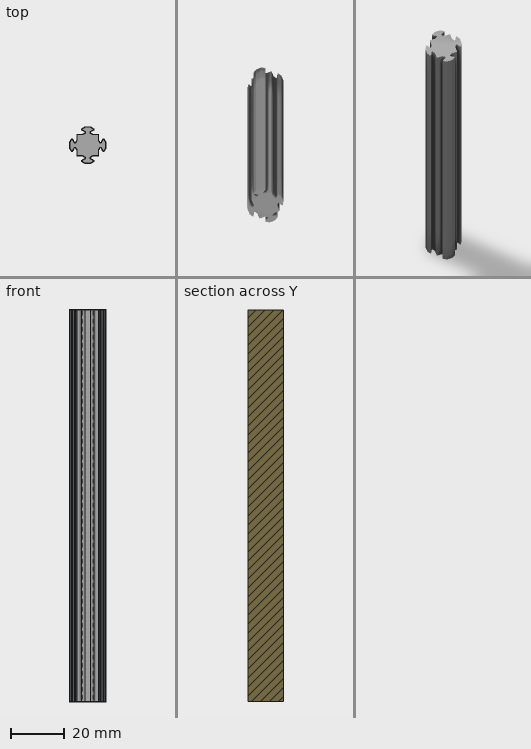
import cadquery as cq
import math

length = 146.0
overall_width = 13.6
core_width = 8.0
foot_width = 3.8
neck_width = 1.9
barb_width = 4.7
barb_thickness = 0.3
tip_width = 2.0
slope_angle = 30.0

tip_distance = overall_width / 2
core_half = core_width / 2


def slope_run(wide, narrow):
    """Outward distance in which a rail tapers between two widths."""
    return (wide - narrow) / 2 * math.tan(math.radians(slope_angle))


neck_start = core_half + slope_run(foot_width, neck_width)
barb_outer = tip_distance - slope_run(barb_width, tip_width)
barb_inner = barb_outer - barb_thickness
neck_end = barb_inner - slope_run(barb_width, neck_width)


def rail(angle):
    """Rail along the full bar, pointing outward at the given angle."""
    upper_half = [
        (0, foot_width / 2),
        (core_half, foot_width / 2),
        (neck_start, neck_width / 2),
        (neck_end, neck_width / 2),
        (barb_inner, barb_width / 2),
        (barb_outer, barb_width / 2),
        (tip_distance, tip_width / 2),
    ]
    lower_half = [(x, -y) for x, y in reversed(upper_half)]
    body = cq.Workplane("XY").polyline(upper_half + lower_half).close().extrude(length)
    return body.rotate((0, 0, 0), (0, 0, 1), angle)


result = cq.Workplane("XY").rect(core_width, core_width).extrude(length)
for angle in (0, 90, 180, 270):
    result = result.union(rail(angle))